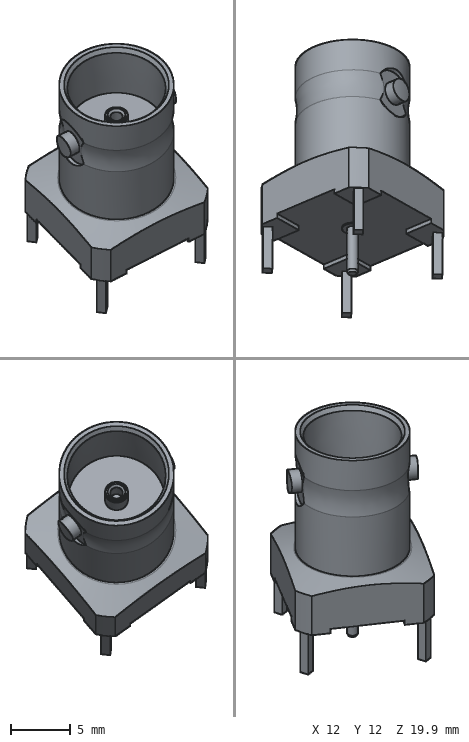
import cadquery as cq
import math

total_height = 19.9
foot_z = 4.02
recess_z = 4.44
ledge_z = 8.6
bore_floor_z = 14.73
lug_z = 15.7
post_top_z = 16.28

base_width = 12.0
base_corner_radius = 7.7
ledge_radius = 4.98
base_top_slope = 15.0
recess_width = 6.4

barrel_radius = 4.84
bore_radius = 4.14
bore_floor_radius = 4.08
bore_mouth_radius = 4.42
bore_mouth_depth = 0.4

groove_height = 2.59
groove_depth = 0.14

lug_radius = 1.01
lug_reach = 5.53
flat_offset = 4.54
flat_radius = 2.07
flat_outer_radius = 2.23

post_radius = 0.98
post_chamfer = 0.08
socket_radius = 0.52
socket_mouth_radius = 0.74

pin_radius = 0.48
pin_tip_radius = 0.35
pin_chamfer_height = 0.22
collar_radius = 0.9
collar_height = 0.12
leg_side = 0.8
leg_offset = 5.07


def cylinder(radius, bottom, top):
    """Upright cylinder on the part axis between two heights."""
    return cq.Workplane("XY").workplane(offset=bottom).circle(radius).extrude(top - bottom)


def cone(bottom_radius, bottom, top_radius, top):
    """Upright truncated cone on the part axis between two heights."""
    return cq.Workplane("XY").add(
        cq.Solid.makeCone(bottom_radius, top_radius, top - bottom, pnt=cq.Vector(0, 0, bottom))
    )


def make_base():
    """Block with rounded corners, a conical top and a cross-shaped recess underneath."""
    corner_drop = (base_corner_radius - ledge_radius) * math.tan(math.radians(base_top_slope))
    outline = [
        (0, foot_z),
        (base_corner_radius, foot_z),
        (base_corner_radius, ledge_z - corner_drop),
        (ledge_radius, ledge_z),
        (0, ledge_z),
    ]
    base = cq.Workplane("XZ").polyline(outline).close().revolve(360, (0, 0), (0, 1))
    square = cq.Workplane("XY").rect(base_width, base_width).extrude(total_height)
    base = base.intersect(square)
    for length_x, length_y in ((base_width, recess_width), (recess_width, base_width)):
        channel = cq.Workplane("XY").workplane(offset=foot_z).rect(length_x, length_y)
        base = base.cut(channel.extrude(recess_z - foot_z))
    return base


def make_barrel():
    """Solid barrel with a shallow arc groove around it."""
    half_groove = groove_height / 2
    profile = (
        cq.Workplane("XZ")
        .moveTo(0, recess_z)
        .lineTo(barrel_radius, recess_z)
        .lineTo(barrel_radius, lug_z - half_groove)
        .threePointArc((barrel_radius - groove_depth, lug_z), (barrel_radius, lug_z + half_groove))
        .lineTo(barrel_radius, total_height)
        .lineTo(0, total_height)
        .close()
    )
    return profile.revolve(360, (0, 0), (0, 1))


def make_flat_cutter(side):
    """Tapered cutter for the flat around a lug; it widens outwards along side (+1 or -1) of Y."""
    taper = (flat_outer_radius - flat_radius) / (barrel_radius - flat_offset)
    cut_length = lug_reach - flat_offset
    cutter = cq.Solid.makeCone(
        flat_radius,
        flat_radius + taper * cut_length,
        cut_length,
        pnt=cq.Vector(0, side * flat_offset, lug_z),
        dir=cq.Vector(0, side, 0),
    )
    return cq.Workplane("XY").add(cutter)


def make_lugs():
    """Crosswise rod whose two ends follow a cylinder about the part axis."""
    rod = cq.Workplane("XZ").center(0, lug_z).circle(lug_radius).extrude(lug_reach, both=True)
    return rod.intersect(cylinder(lug_reach, 0, total_height))


def make_bore():
    """Slightly tapered bore with a flared mouth."""
    mouth_z = total_height - bore_mouth_depth
    bore = cone(bore_floor_radius, bore_floor_z, bore_radius, mouth_z)
    return bore.union(cone(bore_radius, mouth_z, bore_mouth_radius, total_height))


def make_post():
    """Chamfered post standing on the bore floor, with a countersunk socket."""
    post = cylinder(post_radius, bore_floor_z, post_top_z).faces(">Z").chamfer(post_chamfer)
    countersink_z = post_top_z - (socket_mouth_radius - socket_radius)
    post = post.cut(cylinder(socket_radius, bore_floor_z, post_top_z))
    return post.cut(cone(socket_radius, countersink_z, socket_mouth_radius, post_top_z))


def make_pin():
    """Central solder pin with a tapered tip and a thin collar."""
    pin = cone(pin_tip_radius, 0, pin_radius, pin_chamfer_height)
    pin = pin.union(cylinder(pin_radius, pin_chamfer_height, recess_z))
    return pin.union(cylinder(collar_radius, recess_z - collar_height, recess_z))


def make_legs():
    """Four square legs turned by 45 degrees, one under each corner."""
    return (
        cq.Workplane("XY")
        .rect(2 * leg_offset, 2 * leg_offset, forConstruction=True)
        .vertices()
        .polygon(4, leg_side * math.sqrt(2))
        .extrude(foot_z)
    )


barrel = make_barrel()
for side in (1, -1):
    barrel = barrel.cut(make_flat_cutter(side))

result = (
    make_base()
    .union(barrel)
    .union(make_lugs())
    .cut(make_bore())
    .union(make_post())
    .union(make_pin())
    .union(make_legs())
)